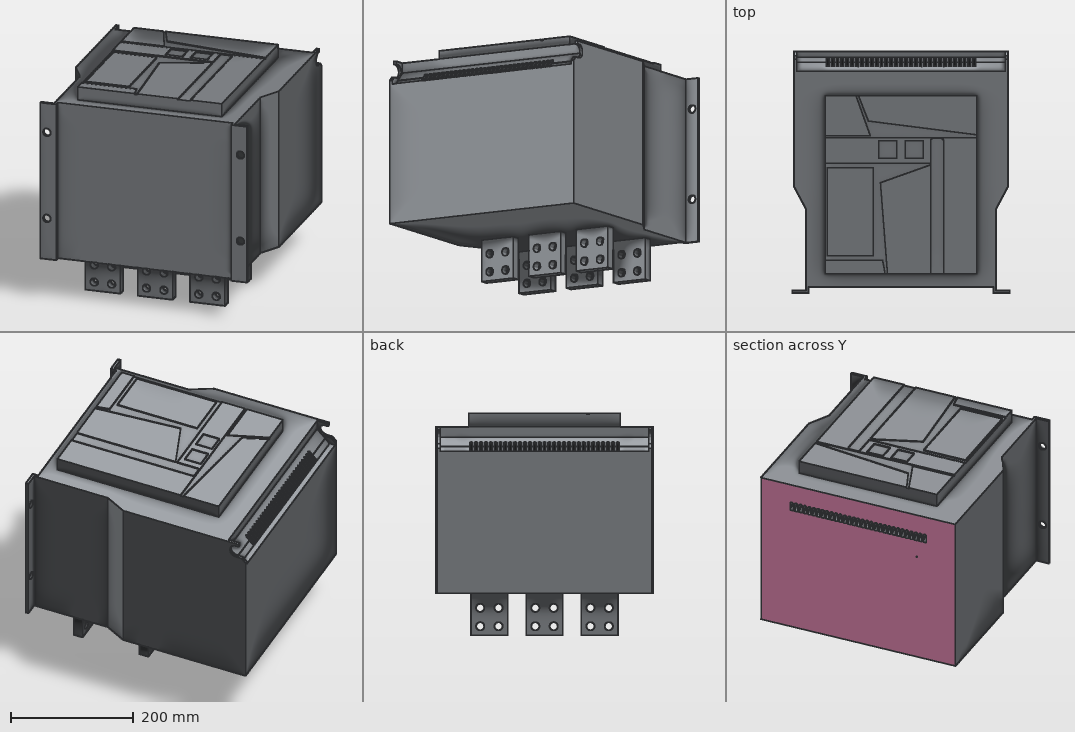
import cadquery as cq
import math

depth = 394.0
back_y = depth / 2
front_y = -depth / 2
body_height = 271.0
sheet = 4.7

rear_width = 349.0
front_width = 310.0
taper_back_y = -23.2
taper_front_y = -60.0
front_sheet_y = -187.0

flange_span = 355.0
flange_hole_diameter = 13.0
flange_hole_x = 166.3
flange_hole_heights = (71.0, 220.5)

opening_front_y = 164.5
opening_wall_drop = 16.5
lap_y = 179.3
lap_step = 0.8
ledge_y = 187.0
hook_tip_y = 184.5
notch_height = 22.5
notch_radius = notch_height / 2
notch_center_y = 180.0
plate_chamfer = 7.0

vent_count = 31
vent_row_length = 238.8
vent_pitch = vent_row_length / (vent_count - 1)
vent_width = 4.7
vent_front_y = 172.5
vent_depth = 23.5

panel_height = 22.5
panel_relief = 1.5
panel_half_width = 123.7
panel_back_y = 125.0
panel_front_y = -165.0
band_back_y = 56.5
band_front_y = 15.0
channel_left_x = 48.5
channel_right_x = 69.5
channel_back_y = 55.0
channel_corner_radius = 3.5
window_size = 28.8
window_pitch = 43.0
window_front_y = 23.0

back_left_front_y = 59.5
back_right_front_y = 61.0
rectangle_x = (-120.5, -45.5)
rectangle_y = (-136.5, 7.0)
front_left_back_y = -143.0
front_middle_back_y = 12.2

bar_width = 60.3
bar_thickness = 16.0
bar_length = 68.5
bar_pitch = 90.0
bar_rows_y = (-11.5, -129.5)
bar_hole_diameter = 13.0
bar_hole_spacing = 30.0
bar_hole_end_distance = 15.0


def box(x_range, y_range, z_range):
    """Box spanning the given (low, high) ranges."""
    size = [high - low for low, high in (x_range, y_range, z_range)]
    corner = (x_range[0], y_range[0], z_range[0])
    return cq.Workplane("XY").box(*size, centered=False).translate(corner)


def make_body():
    """Tapered body with a thin L-shaped flange at each front corner."""
    leg_outer_x = front_width / 2
    leg_inner_x = leg_outer_x - sheet
    half_outline = [
        (0, back_y),
        (rear_width / 2, back_y),
        (rear_width / 2, taper_back_y),
        (leg_outer_x, taper_front_y),
        (leg_outer_x, front_y + sheet),
        (flange_span / 2, front_y + sheet),
        (flange_span / 2, front_y),
        (leg_inner_x, front_y),
        (leg_inner_x, front_sheet_y),
        (0, front_sheet_y),
    ]
    half = cq.Workplane("XY").polyline(half_outline).close().extrude(body_height)
    return half.union(half.mirror("YZ"))


def flange_holes():
    points = [(side * flange_hole_x, z) for side in (-1, 1) for z in flange_hole_heights]
    plane = cq.Workplane("XZ", origin=(0, front_y + sheet, 0))
    return plane.pushPoints(points).circle(flange_hole_diameter / 2).extrude(sheet)


def slope_z(y):
    """Height of the 45 degree slope in the rear opening."""
    return body_height - opening_wall_drop - (y - opening_front_y)


def rear_opening():
    """Pocket between the side plates: a 45 degree slope with a small lap, then a flat ledge."""
    ledge_z = slope_z(ledge_y) - lap_step
    inner_width = rear_width - 2 * sheet
    profile = [
        (opening_front_y, body_height),
        (opening_front_y, slope_z(opening_front_y)),
        (lap_y, slope_z(lap_y)),
        (lap_y, slope_z(lap_y) - lap_step),
        (ledge_y, ledge_z),
        (back_y, ledge_z),
        (back_y, body_height),
    ]
    return cq.Workplane("YZ").polyline(profile).close().extrude(inner_width / 2, both=True)


def hook_notch():
    """Round-ended notch that leaves a hook at the top back corner of both side plates."""
    notch_top = body_height - sheet
    notch_middle = notch_top - notch_radius
    notch_bottom = notch_middle - notch_radius
    return (
        cq.Workplane("YZ")
        .moveTo(back_y, body_height)
        .lineTo(hook_tip_y, body_height)
        .lineTo(hook_tip_y, notch_top)
        .lineTo(notch_center_y, notch_top)
        .threePointArc((notch_center_y - notch_radius, notch_middle), (notch_center_y, notch_bottom))
        .lineTo(back_y - plate_chamfer, notch_bottom)
        .lineTo(back_y, notch_bottom - plate_chamfer)
        .close()
        .extrude(rear_width / 2, both=True)
    )


def vent_slots():
    """Row of round-ended slots cut square to the slope."""
    middle_y = (vent_front_y + ledge_y) / 2
    slot_length = (ledge_y - vent_front_y) * math.sqrt(2)
    slope_plane = cq.Plane(
        origin=(0, middle_y, slope_z(middle_y)), xDir=(1, 0, 0), normal=(0, 1, 1)
    )
    return (
        cq.Workplane(slope_plane)
        .rarray(vent_pitch, 4, vent_count, 1)
        .slot2D(slot_length, vent_width, 90)
        .extrude(-vent_depth)
    )


def raised_field(points):
    """Raised polygon on the panel base."""
    base_z = body_height + panel_height - panel_relief
    return cq.Workplane("XY", origin=(0, 0, base_z)).polyline(points).close().extrude(panel_relief)


def make_panel():
    left = -panel_half_width
    right = panel_half_width
    base_top = body_height + panel_height - panel_relief
    panel_top = body_height + panel_height
    panel = box((left, right), (panel_front_y, panel_back_y), (body_height, base_top))

    band = raised_field([
        (left, band_back_y),
        (right, band_back_y),
        (right, panel_front_y),
        (channel_left_x, panel_front_y),
        (channel_left_x, band_front_y),
        (left, band_front_y),
    ])
    channel = (
        box((channel_left_x, channel_right_x), (panel_front_y, channel_back_y), (base_top, panel_top))
        .edges("|Z and >Y")
        .fillet(channel_corner_radius)
    )
    window_center_y = window_front_y + window_size / 2
    windows = (
        cq.Workplane("XY", origin=(0, 0, base_top))
        .pushPoints([(side * window_pitch / 2, window_center_y) for side in (-1, 1)])
        .rect(window_size, window_size)
        .extrude(panel_relief)
    )
    panel = panel.union(band.cut(channel).cut(windows))

    fields = [
        [
            (left, panel_back_y),
            (-73.3, panel_back_y),
            (-50.0, back_left_front_y),
            (left, back_left_front_y),
        ],
        [
            (-69.5, panel_back_y),
            (right, panel_back_y),
            (right, back_right_front_y),
            (-53.0, 83.5),
        ],
        [
            (rectangle_x[0], rectangle_y[0]),
            (rectangle_x[1], rectangle_y[0]),
            (rectangle_x[1], rectangle_y[1]),
            (rectangle_x[0], rectangle_y[1]),
        ],
        [
            (left, front_left_back_y),
            (-30.0, front_left_back_y),
            (-26.0, panel_front_y),
            (left, panel_front_y),
        ],
        [
            (channel_left_x, front_middle_back_y),
            (-33.5, -17.0),
            (-22.0, panel_front_y),
            (channel_left_x, panel_front_y),
        ],
    ]
    for points in fields:
        panel = panel.union(raised_field(points))
    return panel


def make_bar(center_x, center_y):
    """Terminal bar with a square pattern of four holes."""
    bar = box(
        (center_x - bar_width / 2, center_x + bar_width / 2),
        (center_y - bar_thickness / 2, center_y + bar_thickness / 2),
        (-bar_length, 0),
    )
    holes_z = -bar_length + bar_hole_end_distance + bar_hole_spacing / 2
    holes = (
        cq.Workplane("XZ", origin=(center_x, center_y, holes_z))
        .rarray(bar_hole_spacing, bar_hole_spacing, 2, 2)
        .circle(bar_hole_diameter / 2)
        .extrude(bar_thickness, both=True)
    )
    return bar.cut(holes)


result = make_body()
result = result.cut(flange_holes())
result = result.cut(rear_opening()).cut(hook_notch()).cut(vent_slots())
result = result.union(make_panel())
for row_y in bar_rows_y:
    for column in (-1, 0, 1):
        result = result.union(make_bar(column * bar_pitch, row_y))